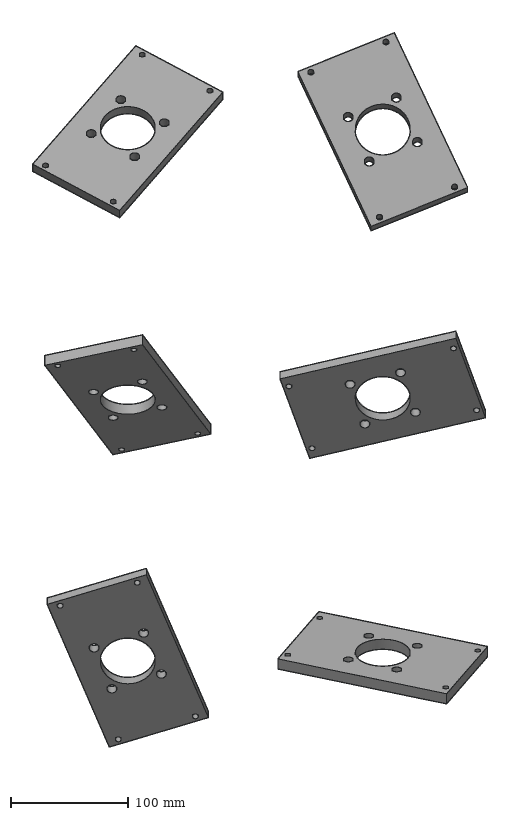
import cadquery as cq

width = 90.0
length = 156.5
thickness = 10.0

bore_diameter = 47.0
bolt_diameter = 8.3
bolt_spacing = 44.9

mount_diameter = 5.0
mount_inset_x = 10.0
mount_inset_y = 5.0
mount_spacing_x = width - 2 * mount_inset_x
mount_spacing_y = length - 2 * mount_inset_y


def drill_rectangle(plate, spacing_x, spacing_y, diameter):
    """Drill four through holes at the corners of a centred rectangle."""
    top = plate.faces(">Z").workplane(origin=(0, 0, 0))
    return top.rect(spacing_x, spacing_y, forConstruction=True).vertices().hole(diameter)


plate = cq.Workplane("XY").box(width, length, thickness)
plate = plate.faces(">Z").workplane().hole(bore_diameter)
plate = drill_rectangle(plate, bolt_spacing, bolt_spacing, bolt_diameter)
plate = drill_rectangle(plate, mount_spacing_x, mount_spacing_y, mount_diameter)

result = plate